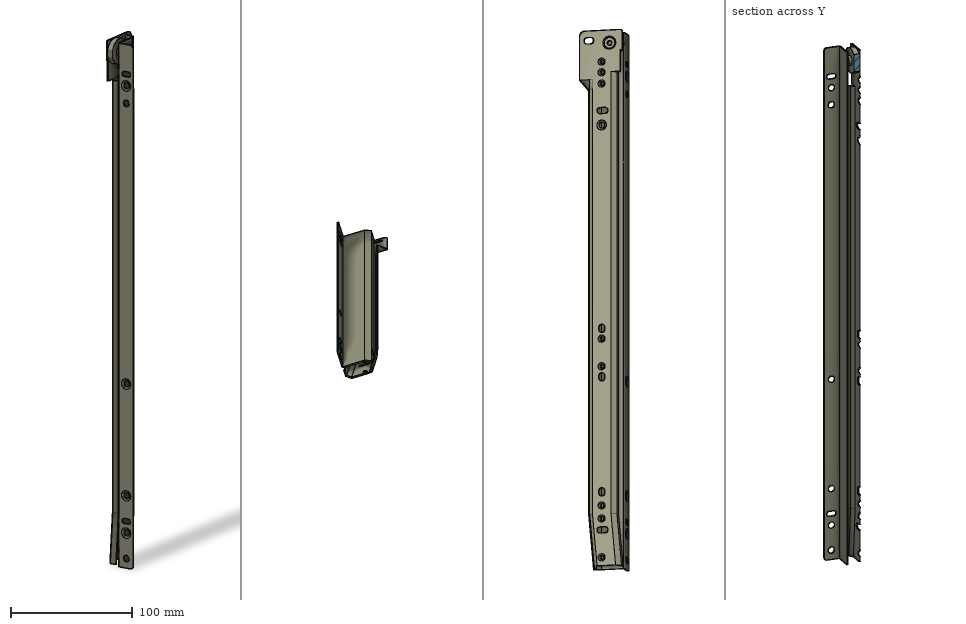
import cadquery as cq
import math

SHEET = 1.2
LENGTH = 451.08
HEIGHT = 36.4
WIDTH = 25.5

WEB_LOW, WEB_HIGH = 9.4, 25.2
LIP_BEND = (1.0, 27.8)
LIP_TIP = (7.8, 30.5)
RAIL_BEND = (3.3, 5.2)
RAIL_TIP_X = 8.4

HEAD_BOTTOM = LENGTH - 41.0
LIP_TOP = LENGTH - 49.0
RAIL_TOP = LENGTH - 35.0
HEAD_NOTCH_Z = LENGTH - 17.0
HEAD_NOTCH_Y = 1.5
HEAD_OUTER_RADIUS = 4.5
HEAD_INNER_RADIUS = 1.5

TAIL_LENGTH = 45.5
TAIL_DROP = 4.1
TAIL_WEB_END = 2.0
TAIL_WEB_TOP_Y = 22.5

ROLLER_RADIUS = 10.8
ROLLER_X_END = 6.0
ROLLER_Y = ROLLER_RADIUS
ROLLER_Z = LENGTH - ROLLER_RADIUS
AXLE_HEAD_DIAMETER = 8.4
AXLE_HEAD_X_END = 8.6
RIVET_DIAMETER = 11.0
RIVET_FLOOR_DIAMETER = 9.0
RIVET_DEPTH = 0.5
AXLE_BORE_DIAMETER = 4.0
AXLE_BORE_DEPTH = 3.0

HEAD_SLOT = (28.4, LENGTH - 8.2)
HEAD_SLOT_SIZE = (8.2, 5.4)

WEB_HOLE_Y = 17.4
WEB_HOLE_BORE = 3.4
WEB_HOLE_RIM = 6.0
WEB_HOLE_ZS = (424.7, 415.8, 406.3, 192.3, 169.2, 52.4, 41.5, 8.9)
LARGE_WEB_HOLE_Z = 371.6
LARGE_WEB_HOLE_BORE = 5.0
LARGE_WEB_HOLE_RIM = 8.2
UPRIGHT_SLOT_ZS = (201.1, 160.4, 63.9)
UPRIGHT_SLOT_SIZE = (5.0, 7.0)
LEVEL_SLOT_ZS = (383.8, 32.0)
LEVEL_SLOT_Y = 16.8
LEVEL_SLOT_SIZE = (9.4, 5.2)

DRAWER_BOTTOM, DRAWER_TOP = 0.7, LENGTH - 0.6
FLANGE_Y = 0.8
WALL_X = 12.1
WALL_TOP_Y = 20.9
RIDGE = (9.8, 25.6)
TRACK_TIP_X = 3.0
TRACK_BOTTOM = TAIL_LENGTH + 1.5
BEND_RADIUS = 1.8
FLANGE_CORNER_RADIUS = 2.5

SCREW_X = 19.0
PITCH = 32.0
LOWEST_SCREW_Z = 31.0
SCREW_ZS = [LOWEST_SCREW_Z + steps * PITCH for steps in (0, 1, 4, 12)]
SCREW_BORE = 5.4
SCREW_RIM = 9.0
FLANGE_SLOT_ZS = [LOWEST_SCREW_Z + 10.0, SCREW_ZS[-1] + 10.0]
FLANGE_SLOT_SIZE = (8.4, 4.4)
PIN_HOLE_ZS = (9.0, 400.0)
PIN_HOLE_DIAMETER = 5.6


def sheet_outline(path):
    """Closed XY outline of a sheet lying on the left of a path of outer-face points."""
    normals = []
    for (x0, y0), (x1, y1) in zip(path, path[1:]):
        run = math.hypot(x1 - x0, y1 - y0)
        normals.append((-(y1 - y0) / run, (x1 - x0) / run))
    ends = [normals[0]] + normals + [normals[-1]]
    inner = []
    for (x, y), before, after in zip(path, ends, ends[1:]):
        miter = SHEET / (1 + before[0] * after[0] + before[1] * after[1])
        inner.append((x + (before[0] + after[0]) * miter, y + (before[1] + after[1]) * miter))
    return list(path) + inner[::-1]


def extruded(outline, z_low, z_high):
    return cq.Workplane("XY").workplane(offset=z_low).polyline(outline).close().extrude(z_high - z_low)


def ruled(low_outline, z_low, high_outline, z_high):
    """Straight-sided solid between two outlines with matching corners."""
    return (
        cq.Workplane("XY").workplane(offset=z_low).polyline(low_outline).close()
        .workplane(offset=z_high - z_low).polyline(high_outline).close()
        .loft(ruled=True)
    )


def web_plane(y, z):
    """Plane on the web's outer face, local x along +Y, normal into the sheet (+X)."""
    return cq.Workplane(cq.Plane(origin=(0, y, z), xDir=(0, 1, 0), normal=(1, 0, 0)))


def flange_plane(z):
    """Plane on the flange's underside, local x along +X, normal into the sheet (+Y)."""
    return cq.Workplane(cq.Plane(origin=(SCREW_X, FLANGE_Y, z), xDir=(1, 0, 0), normal=(0, 1, 0)))


def countersink(plane, bore, rim):
    """Through hole with a conical rim reaching half way into the sheet."""
    cone = plane.circle(rim / 2).workplane(offset=SHEET / 2).circle(bore / 2).loft()
    return plane.circle(bore / 2).extrude(SHEET).union(cone)


def slot(plane, width, height):
    if width > height:
        return plane.slot2D(width, height).extrude(SHEET)
    return plane.slot2D(height, width, 90).extrude(SHEET)


def cabinet_sheet():
    upper = [LIP_TIP, LIP_BEND, (0, WEB_HIGH)]
    lower = [(0, WEB_LOW), RAIL_BEND, (RAIL_TIP_X, RAIL_BEND[1])]
    channel = sheet_outline(upper + lower)
    dropped = [(x, y - TAIL_DROP) for x, y in channel]

    web_foot = (0, WEB_LOW)
    folded = sheet_outline(upper + [web_foot])
    flat = sheet_outline([(0, HEIGHT), (0, LIP_BEND[1]), (0, WEB_HIGH), web_foot])

    body = extruded(channel, TAIL_LENGTH, LIP_TOP)
    body = body.union(ruled(dropped, 0, channel, TAIL_LENGTH))
    body = body.union(ruled(folded, LIP_TOP, flat, HEAD_BOTTOM))
    body = body.union(extruded(sheet_outline([(0, WEB_HIGH)] + lower), LIP_TOP, RAIL_TOP))
    web_end = cq.Workplane("XY").box(WIDTH, TAIL_WEB_TOP_Y + TAIL_DROP, TAIL_WEB_END, centered=False)
    return body.cut(web_end.translate((0, -TAIL_DROP, 0)))


def head_plate():
    outline = [
        (0, LENGTH), (HEIGHT, LENGTH), (HEIGHT, HEAD_BOTTOM), (WEB_LOW, HEAD_BOTTOM),
        (WEB_LOW, RAIL_TOP), (HEAD_NOTCH_Y, RAIL_TOP), (HEAD_NOTCH_Y, HEAD_NOTCH_Z), (0, HEAD_NOTCH_Z),
    ]
    plate = cq.Workplane("YZ").polyline(outline).close().extrude(SHEET)
    plate = plate.edges("|X and >Z and >Y").fillet(HEAD_OUTER_RADIUS)
    return plate.edges("|X and >Z and <Y").fillet(HEAD_INNER_RADIUS)


def roller():
    inner_face = web_plane(ROLLER_Y, ROLLER_Z).workplane(offset=SHEET)
    disc = inner_face.circle(ROLLER_RADIUS).extrude(ROLLER_X_END - SHEET)
    axle = inner_face.circle(AXLE_HEAD_DIAMETER / 2).extrude(AXLE_HEAD_X_END - SHEET)
    return disc.union(axle)


def rivet_recess():
    face = web_plane(ROLLER_Y, ROLLER_Z)
    dish = (
        face.circle(RIVET_DIAMETER / 2)
        .workplane(offset=RIVET_DEPTH).circle(RIVET_FLOOR_DIAMETER / 2).loft()
    )
    return dish.union(face.circle(AXLE_BORE_DIAMETER / 2).extrude(AXLE_BORE_DEPTH))


def cabinet_profile():
    body = cabinet_sheet().union(head_plate()).union(roller()).cut(rivet_recess())
    body = body.cut(slot(web_plane(*HEAD_SLOT), *HEAD_SLOT_SIZE))
    for z in WEB_HOLE_ZS:
        body = body.cut(countersink(web_plane(WEB_HOLE_Y, z), WEB_HOLE_BORE, WEB_HOLE_RIM))
    large = countersink(web_plane(WEB_HOLE_Y, LARGE_WEB_HOLE_Z), LARGE_WEB_HOLE_BORE, LARGE_WEB_HOLE_RIM)
    body = body.cut(large)
    for z in UPRIGHT_SLOT_ZS:
        body = body.cut(slot(web_plane(WEB_HOLE_Y, z), *UPRIGHT_SLOT_SIZE))
    for z in LEVEL_SLOT_ZS:
        body = body.cut(slot(web_plane(LEVEL_SLOT_Y, z), *LEVEL_SLOT_SIZE))
    return body


def drawer_profile():
    path = [
        (TRACK_TIP_X, RIDGE[1] - SHEET), (RIDGE[0] - SHEET / 2, RIDGE[1] - SHEET),
        (WALL_X - SHEET, WALL_TOP_Y - SHEET / 2), (WALL_X - SHEET, FLANGE_Y), (WIDTH, FLANGE_Y),
    ]
    body = extruded(sheet_outline(path), DRAWER_BOTTOM, DRAWER_TOP)
    body = body.edges(cq.selectors.NearestToPointSelector((WALL_X - SHEET, FLANGE_Y, LENGTH / 2)))
    body = body.fillet(BEND_RADIUS)
    body = body.edges("|Y and >X").fillet(FLANGE_CORNER_RADIUS)

    track_relief_width = RIDGE[0] - SHEET / 2 - TRACK_TIP_X
    relief = cq.Workplane("XY").box(track_relief_width, HEIGHT, TRACK_BOTTOM, centered=False)
    body = body.cut(relief.translate((TRACK_TIP_X, 0, 0)))

    for z in SCREW_ZS:
        body = body.cut(countersink(flange_plane(z), SCREW_BORE, SCREW_RIM))
    for z in FLANGE_SLOT_ZS:
        body = body.cut(slot(flange_plane(z), *FLANGE_SLOT_SIZE))
    for z in PIN_HOLE_ZS:
        body = body.cut(flange_plane(z).circle(PIN_HOLE_DIAMETER / 2).extrude(SHEET))
    return body


cabinet = cabinet_profile()
drawer = drawer_profile()
result = cq.Compound.makeCompound([cabinet.solids().val(), drawer.solids().val()])